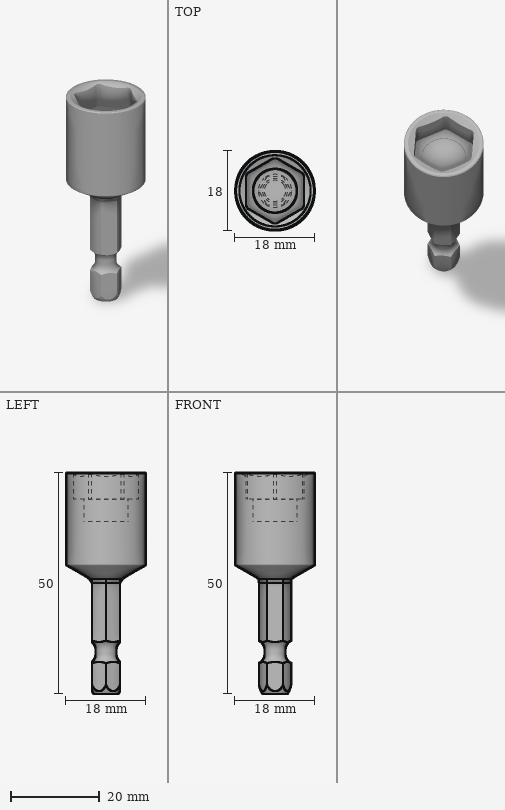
import cadquery as cq
import math

TOTAL_LENGTH = 50.0
HEAD_RADIUS = 9.0
HEAD_BOTTOM_Z = 29.1
HEAD_EDGE_ROUND = 0.4
RIM_CHAMFER = 0.2
CONE_ANGLE = 30.0

SHANK_FLATS = 6.35
SHANK_CORNER_RADIUS = SHANK_FLATS / math.sqrt(3)

TRANSITION_BOTTOM_Z = 25.1
NECK_Z = 26.0
NECK_RADIUS = 3.75
CONE_BOTTOM_Z = 26.3

GROOVE_RADIUS = 2.4
GROOVE_BOTTOM_Z = 8.95
GROOVE_TOP_Z = 10.05
GROOVE_ARC_RADIUS = 2.2

TIP_RADIUS = 2.8
TIP_MID_RADIUS = 3.25
TIP_MID_HEIGHT = 0.8
TIP_HEIGHT = 2.1

SOCKET_FLATS = 13.1
SOCKET_CORNER_RADIUS = 7.35
SOCKET_DEPTH = 6.0
LEAD_IN_RADIUS = 8.05
LEAD_IN_ANGLE = 30.0

MAGNET_RADIUS = 5.0
MAGNET_THICKNESS = 5.0
MAGNET_EDGE_CHAMFER = 0.1

SOCKET_FLOOR_Z = TOTAL_LENGTH - SOCKET_DEPTH
CONE_SLOPE = math.tan(math.radians(CONE_ANGLE))
CONE_BOTTOM_RADIUS = HEAD_RADIUS - (HEAD_BOTTOM_Z - CONE_BOTTOM_Z) / CONE_SLOPE
MAGNET_BOTTOM_Z = SOCKET_FLOOR_Z - MAGNET_THICKNESS


def hex_prism(across_flats, bottom_z, height, turn=0.0):
    """Vertical hexagonal prism; without a turn its corners lie on the X axis."""
    corner_diameter = across_flats * 2 / math.sqrt(3)
    prism = cq.Workplane("XY").workplane(offset=bottom_z).polygon(6, corner_diameter).extrude(height)
    return prism.rotate((0, 0, 0), (0, 0, 1), turn)


def cylinder(radius, bottom_z, height):
    return cq.Workplane("XY").workplane(offset=bottom_z).circle(radius).extrude(height)


def revolve_profile(profile):
    """Turn a closed radius-height profile about the Z axis."""
    return profile.close().revolve(360, (0, 0, 0), (0, 1, 0))


def make_head():
    """Turned head and cone, with a steeper short flare down to the neck."""
    head = revolve_profile(
        cq.Workplane("XZ")
        .moveTo(0, NECK_Z)
        .lineTo(NECK_RADIUS, NECK_Z)
        .lineTo(CONE_BOTTOM_RADIUS, CONE_BOTTOM_Z)
        .lineTo(HEAD_RADIUS, HEAD_BOTTOM_Z)
        .lineTo(HEAD_RADIUS, TOTAL_LENGTH)
        .lineTo(0, TOTAL_LENGTH)
    )
    head = head.edges(cq.selectors.RadiusNthSelector(-1)).edges("<Z").fillet(HEAD_EDGE_ROUND)
    return head.faces(">Z").edges().chamfer(RIM_CHAMFER)


def make_transition():
    """Loft from the hexagonal shank section up to the round neck."""
    return (
        cq.Workplane("XY")
        .workplane(offset=TRANSITION_BOTTOM_Z)
        .polygon(6, 2 * SHANK_CORNER_RADIUS)
        .workplane(offset=NECK_Z - TRANSITION_BOTTOM_Z)
        .circle(NECK_RADIUS)
        .loft(ruled=True)
    )


def make_tip_envelope():
    """Turned envelope that rounds the lower end of the shank."""
    return revolve_profile(
        cq.Workplane("XZ")
        .lineTo(TIP_RADIUS, 0)
        .threePointArc((TIP_MID_RADIUS, TIP_MID_HEIGHT), (SHANK_CORNER_RADIUS, TIP_HEIGHT))
        .lineTo(HEAD_RADIUS, TIP_HEIGHT)
        .lineTo(HEAD_RADIUS, TOTAL_LENGTH)
        .lineTo(0, TOTAL_LENGTH)
    )


def make_groove():
    """Ring-shaped cutter with a straight neck between two quarter-round flanks."""
    outer_radius = GROOVE_RADIUS + GROOVE_ARC_RADIUS
    return revolve_profile(
        cq.Workplane("XZ")
        .moveTo(outer_radius, GROOVE_BOTTOM_Z - GROOVE_ARC_RADIUS)
        .radiusArc((GROOVE_RADIUS, GROOVE_BOTTOM_Z), GROOVE_ARC_RADIUS)
        .lineTo(GROOVE_RADIUS, GROOVE_TOP_Z)
        .radiusArc((outer_radius, GROOVE_TOP_Z + GROOVE_ARC_RADIUS), GROOVE_ARC_RADIUS)
    )


def make_socket():
    """Hexagonal cutter with rounded corners and a conical mouth."""
    hexagon = hex_prism(SOCKET_FLATS, SOCKET_FLOOR_Z, SOCKET_DEPTH, turn=30)
    trimmed = hexagon.intersect(cylinder(SOCKET_CORNER_RADIUS, SOCKET_FLOOR_Z, SOCKET_DEPTH))
    lead_in_depth = LEAD_IN_RADIUS * math.tan(math.radians(LEAD_IN_ANGLE))
    lead_in = revolve_profile(
        cq.Workplane("XZ")
        .moveTo(0, TOTAL_LENGTH - lead_in_depth)
        .lineTo(LEAD_IN_RADIUS, TOTAL_LENGTH)
        .lineTo(0, TOTAL_LENGTH)
    )
    return trimmed.union(lead_in)


def make_driver():
    """One-piece nut driver: head, shank, transition, groove, socket and magnet pocket."""
    shank = hex_prism(SHANK_FLATS, 0, TRANSITION_BOTTOM_Z)
    shank = shank.intersect(make_tip_envelope()).cut(make_groove())
    body = make_head().union(make_transition()).union(shank)
    magnet_pocket = cylinder(MAGNET_RADIUS, MAGNET_BOTTOM_Z, MAGNET_THICKNESS)
    return body.cut(make_socket()).cut(magnet_pocket)


def make_magnet():
    magnet = cylinder(MAGNET_RADIUS, MAGNET_BOTTOM_Z, MAGNET_THICKNESS)
    return magnet.faces(">Z").edges().chamfer(MAGNET_EDGE_CHAMFER)


driver = make_driver()
magnet = make_magnet()
result = cq.Compound.makeCompound([driver.val(), magnet.val()])